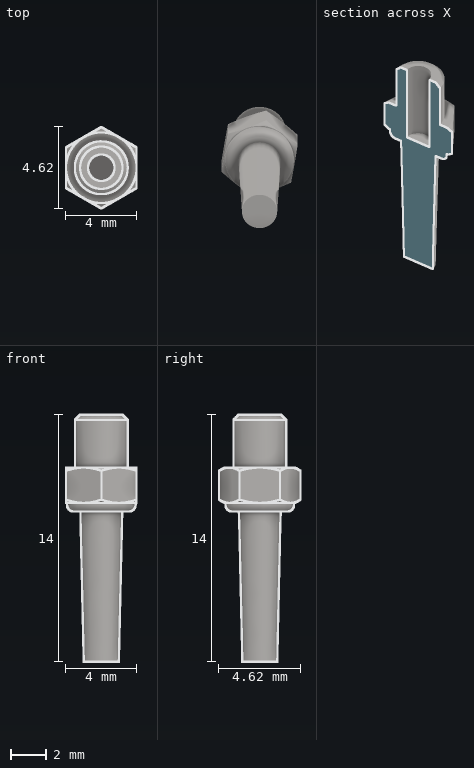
import cadquery as cq
import math

total_length = 14.0
spigot_length = 3.0
hex_height = 2.0
collar_height = 0.5

spigot_diameter = 3.0
spigot_chamfer = 0.3
bore_diameter = 1.5
bore_depth = spigot_length + hex_height

hex_sides = 6
half_sector_angle = 180 / hex_sides
across_flats = 4.0
across_corners = across_flats / math.cos(math.radians(half_sector_angle))
hex_chamfer_angle = 30.0

collar_diameter = 3.9
collar_round = 0.4

stem_tip_diameter = 2.0
stem_draft_angle = 1.3

hex_top = total_length - spigot_length
hex_bottom = hex_top - hex_height
collar_bottom = hex_bottom - collar_height


def make_spigot():
    return (
        cq.Workplane("XY", origin=(0, 0, hex_top))
        .circle(spigot_diameter / 2)
        .extrude(spigot_length)
        .faces(">Z")
        .chamfer(spigot_chamfer)
    )


def make_hexagon():
    """Hexagonal prism whose corners are turned down by a cone at both ends."""
    prism = (
        cq.Workplane("XY", origin=(0, 0, hex_bottom))
        .polygon(hex_sides, across_corners)
        .extrude(hex_height)
        .rotate((0, 0, 0), (0, 0, 1), half_sector_angle)
    )
    flat_radius = across_flats / 2
    corner_radius = across_corners / 2
    corner_drop = (corner_radius - flat_radius) * math.tan(math.radians(hex_chamfer_angle))
    turned_envelope = (
        cq.Workplane("XZ")
        .moveTo(0, hex_bottom)
        .lineTo(flat_radius, hex_bottom)
        .lineTo(corner_radius, hex_bottom + corner_drop)
        .lineTo(corner_radius, hex_top - corner_drop)
        .lineTo(flat_radius, hex_top)
        .lineTo(0, hex_top)
        .close()
        .revolve(360, (0, 0, 0), (0, 1, 0))
    )
    return prism.intersect(turned_envelope)


def make_collar():
    return (
        cq.Workplane("XY", origin=(0, 0, collar_bottom))
        .circle(collar_diameter / 2)
        .extrude(collar_height)
        .faces("<Z")
        .edges()
        .fillet(collar_round)
    )


def make_stem():
    """Stem that narrows evenly from the collar down to its tip."""
    stem_widening = collar_bottom * math.tan(math.radians(stem_draft_angle))
    stem_top_radius = stem_tip_diameter / 2 + stem_widening
    return (
        cq.Workplane("XY")
        .circle(stem_tip_diameter / 2)
        .workplane(offset=collar_bottom)
        .circle(stem_top_radius)
        .loft(ruled=True)
    )


def make_bore():
    return (
        cq.Workplane("XY", origin=(0, 0, total_length - bore_depth))
        .circle(bore_diameter / 2)
        .extrude(bore_depth)
    )


body = make_hexagon().union(make_spigot()).union(make_collar()).union(make_stem())
result = body.cut(make_bore())